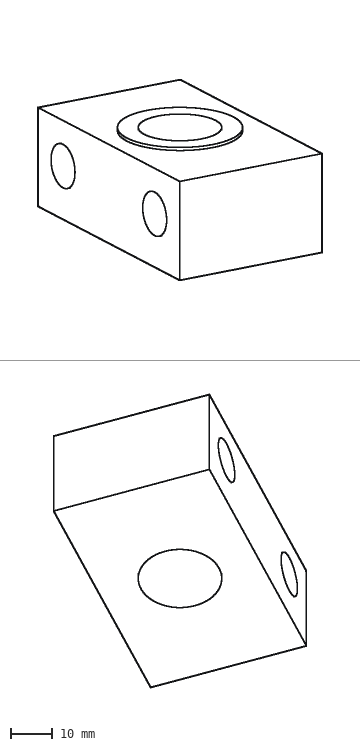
import cadquery as cq

length = 65.0
width = 40.0
block_height = 25.0

ring_diameter = 30.0
ring_height = 0.8
bore_diameter = 20.0

cross_hole_diameter = 11.0
cross_hole_spacing = 42.0
cross_hole_height = 13.5


def make_body():
    """Block standing on Z = 0 with the raised ring's disc on top."""
    block = cq.Workplane("XY").box(length, width, block_height, centered=(True, True, False))
    disc = (
        cq.Workplane("XY")
        .workplane(offset=block_height)
        .circle(ring_diameter / 2)
        .extrude(ring_height)
    )
    return block.union(disc)


def make_bore():
    """Vertical bore through the block and the ring."""
    return cq.Workplane("XY").circle(bore_diameter / 2).extrude(block_height + ring_height)


def make_cross_holes():
    """Pair of holes through the full width, one on each side of the bore."""
    half_spacing = cross_hole_spacing / 2
    return (
        cq.Workplane("XZ")
        .pushPoints([(side * half_spacing, cross_hole_height) for side in (-1, 1)])
        .circle(cross_hole_diameter / 2)
        .extrude(width / 2, both=True)
    )


result = make_body().cut(make_bore()).cut(make_cross_holes())